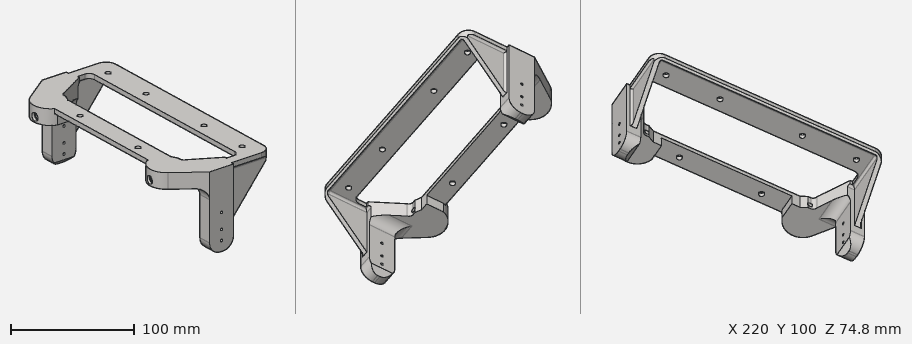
import cadquery as cq
import math

length = 220.0
depth = 100.0
height = 74.8
half_length = length / 2

plate_thickness = 4.6
plate_inset = 2.9
plate_corner_radius = 10.0
bar_front_y = -90.6

window_half_length = 97.7
window_rear_y = -25.7
window_step_y = -38.5
window_front_y = -72.2
window_corner_radius = 5.5
slant_top_x = 95.5
slant_bottom_x = 80.0
slant_bottom_y = -66.0
slant_arc_x = 78.5
slant_arc_y = -68.5
pad_rear_y = -69.3
pad_corner_x = 76.3
pad_inner_x = 73.5
pad_end_x = 67.8

screw_diameter = 4.8
inner_screw_x = 38.0
outer_screw_x = 88.0
rear_screw_y = -15.0
front_screw_y = -82.5

arm_thickness = 15.0
boss_radius = 17.2
boss_x = 76.5
boss_y = boss_radius - depth
arm_end_x = 60.3
bore_x = 75.5
bore_z = -10.0
bore_diameter = 4.5
counterbore_diameter = 7.3
counterbore_depth = 2.9

leg_thickness = 13.0
leg_rear_y = -40.7
leg_front_y = -65.3
leg_inner_x = half_length - leg_thickness
leg_mid_y = (leg_rear_y + leg_front_y) / 2
leg_end_radius = 11.2
leg_chamfer = 4.8
leg_flare_radius = 10.0
pin_diameter = 2.2
pin_heights = (-39.8, -55.0, -65.0)

gusset_outer_x = half_length - 4.8
gusset_inner_x = 100.8
gusset_bottom_z = -54.3
web_fillet = 2.2
lip_thickness = 1.8


def box(x0, x1, y0, y1, z0, z1):
    """Box between two opposite corners."""
    size = (x1 - x0, y1 - y0, z1 - z0)
    return cq.Workplane("XY").box(*size, centered=False).translate((x0, y0, z0))


def both_sides(body):
    """The body together with its mirror image on the other end."""
    return body.union(body.mirror("YZ"))


def rear_blank(thickness):
    """Rear part of the plate outline, with rounded rear corners, down to the given depth."""
    half = half_length - plate_inset
    blank = box(-half, half, leg_rear_y, 0, -thickness, 0)
    return blank.edges("|Z and >Y").fillet(plate_corner_radius)


def front_bar():
    """Thin bar joining the two arms in front of the window."""
    return box(-boss_x, boss_x, bar_front_y, window_front_y, -plate_thickness, 0)


def arm_outline():
    """Plan of the right-hand arm from leg to boss, as a prism of the full arm thickness."""
    dx = half_length - boss_x
    dy = leg_front_y - boss_y
    reach = math.hypot(dx, dy)
    angle = math.atan2(dy, dx) - math.acos(boss_radius / reach)
    tangent_x = boss_x + boss_radius * math.cos(angle)
    tangent_y = boss_y + boss_radius * math.sin(angle)
    end_y = boss_y - math.sqrt(boss_radius**2 - (boss_x - arm_end_x) ** 2)
    return (
        cq.Workplane("XY")
        .moveTo(half_length, leg_rear_y)
        .lineTo(half_length, leg_front_y)
        .lineTo(tangent_x, tangent_y)
        .threePointArc((boss_x, -depth), (arm_end_x, end_y))
        .lineTo(arm_end_x, leg_rear_y)
        .close()
    )


def window():
    """Window cutter, symmetric about X = 0."""
    half = (
        cq.Workplane("XY")
        .moveTo(0, window_rear_y)
        .lineTo(window_half_length - window_corner_radius, window_rear_y)
        .radiusArc((window_half_length, window_rear_y - window_corner_radius), window_corner_radius)
        .lineTo(window_half_length, window_step_y)
        .lineTo(slant_top_x, window_step_y)
        .lineTo(slant_bottom_x, slant_bottom_y)
        .threePointArc((slant_arc_x, slant_arc_y), (pad_corner_x, pad_rear_y))
        .lineTo(pad_inner_x, pad_rear_y)
        .lineTo(pad_end_x, window_front_y)
        .lineTo(0, window_front_y)
        .close()
        .extrude(-arm_thickness - leg_flare_radius)
    )
    return both_sides(half)


def gussets_and_lip():
    """Side gussets and rear lip: a sloped wedge under the plate, hollowed inside and recessed outside."""
    wedge = (
        cq.Workplane("YZ", origin=(-half_length, 0, 0))
        .moveTo(0, -plate_thickness)
        .lineTo(leg_rear_y, gusset_bottom_z)
        .lineTo(leg_rear_y, -plate_thickness)
        .close()
        .extrude(length)
    )
    wedge = wedge.intersect(rear_blank(height))
    hollow = box(-gusset_inner_x, gusset_inner_x, leg_rear_y, -lip_thickness, -height, -plate_thickness)
    hollow = hollow.edges(">Z or (|Z and >Y)").fillet(web_fillet)
    recess = box(gusset_outer_x, half_length + web_fillet, leg_rear_y, web_fillet, -height, -plate_thickness)
    recess = recess.edges("<X and (>Z or <Y)").fillet(web_fillet)
    return wedge.cut(hollow).cut(both_sides(recess))


def leg_flare():
    """Concave flare on the front and inner sides where the right-hand leg meets the arm."""
    top = box(
        leg_inner_x - 2 * leg_flare_radius,
        half_length,
        leg_front_y - 2 * leg_flare_radius,
        leg_rear_y,
        -arm_thickness,
        0,
    )
    stem = box(leg_inner_x, half_length, leg_front_y, leg_rear_y, -arm_thickness - 2 * leg_flare_radius, 0)
    joint = cq.selectors.BoxSelector(
        (leg_inner_x - 0.2, leg_front_y - 0.2, -arm_thickness - 0.2),
        (half_length + 0.2, leg_rear_y + 0.2, -arm_thickness + 0.2),
    )
    flare = top.union(stem).edges(joint).fillet(leg_flare_radius)
    footprint = arm_outline().extrude(-height)
    return flare.intersect(footprint)


def leg():
    """Right-hand leg with a rounded foot and an inner foot chamfer."""
    body = box(leg_inner_x, half_length, leg_front_y, leg_rear_y, -height, 0)
    body = body.edges("|X and <Z").fillet(leg_end_radius)
    wedge = (
        cq.Workplane("XZ", origin=(0, leg_rear_y, 0))
        .moveTo(leg_inner_x, -height)
        .lineTo(leg_inner_x + leg_chamfer, -height)
        .lineTo(leg_inner_x, -height + leg_chamfer)
        .close()
        .extrude(leg_rear_y - leg_front_y)
    )
    return body.cut(wedge)


def boss_bore():
    """Counterbored hole running front to back through the right-hand boss."""
    mouth = cq.Workplane("XZ", origin=(bore_x, -depth, bore_z))
    hole = mouth.circle(bore_diameter / 2).extrude(leg_rear_y - (-depth), both=True)
    counterbore = mouth.circle(counterbore_diameter / 2).extrude(counterbore_depth, both=True)
    return hole.union(counterbore)


def screw_holes():
    """Screw holes through the rear and front bars."""
    places = [(x, rear_screw_y) for x in (-outer_screw_x, -inner_screw_x, inner_screw_x, outer_screw_x)]
    places += [(x, front_screw_y) for x in (-inner_screw_x, inner_screw_x)]
    return cq.Workplane("XY").pushPoints(places).circle(screw_diameter / 2).extrude(-plate_thickness)


def pin_holes():
    """Small cross holes through both legs."""
    places = [(leg_mid_y, z) for z in pin_heights]
    return cq.Workplane("YZ").pushPoints(places).circle(pin_diameter / 2).extrude(length, both=True)


arm = arm_outline().extrude(-arm_thickness).union(leg_flare())
result = rear_blank(plate_thickness).union(front_bar()).union(both_sides(arm)).union(gussets_and_lip())
result = result.cut(window()).union(both_sides(leg()))
result = result.cut(both_sides(boss_bore())).cut(screw_holes()).cut(pin_holes())